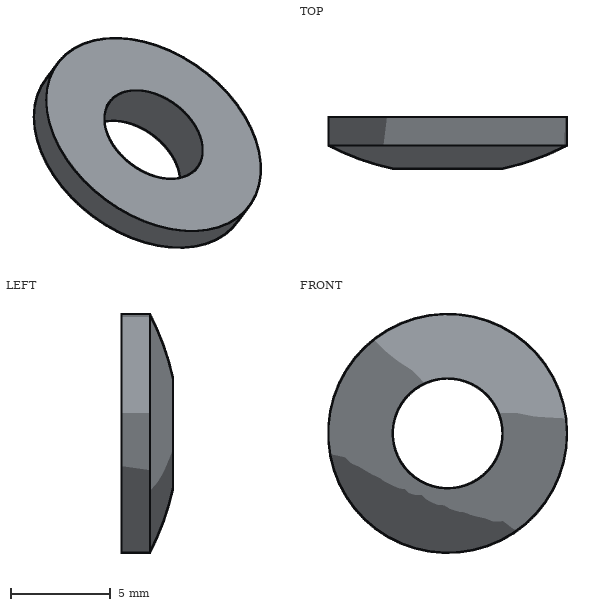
import cadquery as cq
import math

outer_diameter = 12
hole_diameter = 5.5
thickness = 2.6
rim_thickness = 1.43

outer_radius = outer_diameter / 2
hole_radius = hole_diameter / 2
dome_height = thickness - rim_thickness

centre_depth = (outer_radius**2 - hole_radius**2 - dome_height**2) / (2 * dome_height)
sphere_radius = math.hypot(outer_radius, centre_depth)

middle_radius = (outer_radius + hole_radius) / 2
middle_height = math.sqrt(sphere_radius**2 - middle_radius**2) - centre_depth

half_section = (
    cq.Workplane("XY")
    .moveTo(hole_radius, 0)
    .lineTo(outer_radius, 0)
    .lineTo(outer_radius, -rim_thickness)
    .threePointArc(
        (middle_radius, -rim_thickness - middle_height),
        (hole_radius, -thickness),
    )
    .close()
)

result = half_section.revolve(360, (0, 0, 0), (0, 1, 0))